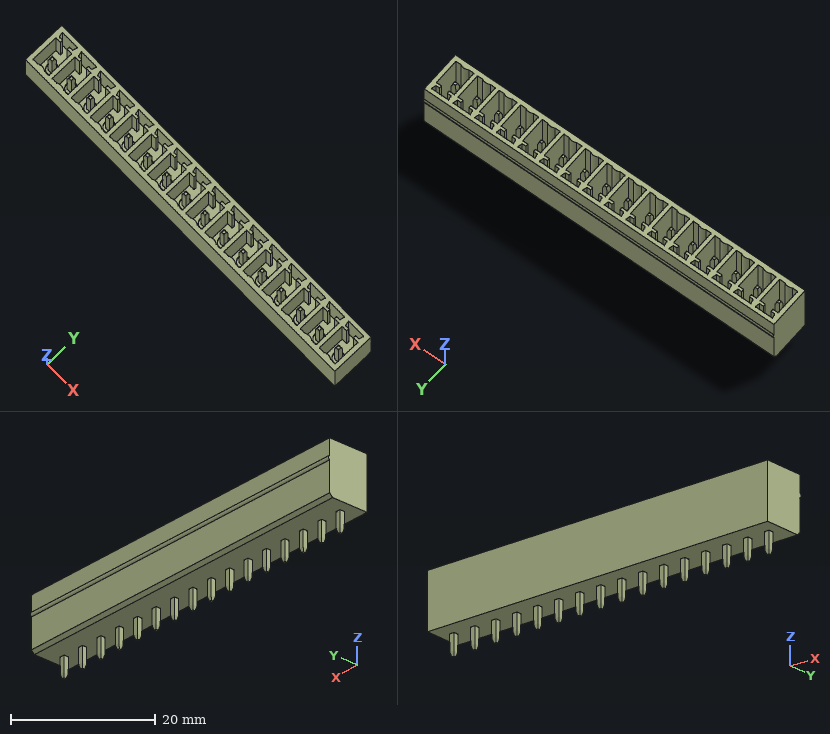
import cadquery as cq

LENGTH = 61.75
DEPTH = 7.05
HEIGHT = 9.25
BACK_CHAMFER = 0.55

RIB_HEIGHT = 0.2
RIB_WIDTH = 0.75
RIB_Z = 6.1

PIN_COUNT = 16
PIN_SPAN = 57.1
PITCH = PIN_SPAN / (PIN_COUNT - 1)
PIN_Y = 2.95

PIN_SIZE = 0.8
PIN_TIP_SIZE = 0.45
PIN_BOTTOM = -3.45
PIN_TOP = 7.7
PIN_TAPER = 0.7

FLOOR_Z = 1.5
BAY_WIDTH = 3.15
BAY_FRONT = 0.8
BAY_BACK = 5.2
NECK_WIDTH = 1.35
NECK_BACK = 5.6
KEYWAY_FRONT_WIDTH = 2.65
KEYWAY_BACK_WIDTH = 3.0
KEYWAY_BACK = 6.35

BULGE_WIDTH = 1.35
BULGE_HEIGHT = 0.2

RECESS_RADIUS = 0.9
RECESS_DEPTH = 0.5


def make_housing():
    block = cq.Workplane("XY").box(LENGTH, DEPTH, HEIGHT, centered=(True, False, False))
    block = block.faces(">Y").edges("<Z").chamfer(BACK_CHAMFER)
    half_rib = RIB_WIDTH / 2
    rib = (
        cq.Workplane("YZ", origin=(-LENGTH / 2, 0, 0))
        .moveTo(DEPTH, RIB_Z - half_rib)
        .threePointArc((DEPTH + RIB_HEIGHT, RIB_Z), (DEPTH, RIB_Z + half_rib))
        .close()
        .extrude(LENGTH)
    )
    return block.union(rib)


def make_chamber():
    """Cutting body for one chamber, with the pin axis at x = 0."""
    bay = BAY_WIDTH / 2
    neck = NECK_WIDTH / 2
    key_front = KEYWAY_FRONT_WIDTH / 2
    key_back = KEYWAY_BACK_WIDTH / 2
    bulge = BULGE_WIDTH / 2
    opening = (
        cq.Workplane("XY", origin=(0, 0, FLOOR_Z))
        .moveTo(-bay, BAY_FRONT)
        .lineTo(-bulge, BAY_FRONT)
        .threePointArc((0, BAY_FRONT + BULGE_HEIGHT), (bulge, BAY_FRONT))
        .lineTo(bay, BAY_FRONT)
        .lineTo(bay, BAY_BACK)
        .lineTo(neck, BAY_BACK)
        .lineTo(neck, NECK_BACK)
        .lineTo(key_front, NECK_BACK)
        .lineTo(key_back, KEYWAY_BACK)
        .lineTo(-key_back, KEYWAY_BACK)
        .lineTo(-key_front, NECK_BACK)
        .lineTo(-neck, NECK_BACK)
        .lineTo(-neck, BAY_BACK)
        .lineTo(-bay, BAY_BACK)
        .close()
        .extrude(HEIGHT - FLOOR_Z)
    )
    recess = (
        cq.Workplane("XY", origin=(0, PIN_Y, FLOOR_Z - RECESS_DEPTH))
        .circle(RECESS_RADIUS)
        .extrude(RECESS_DEPTH)
    )
    return opening.union(recess)


def make_tip(base_z, direction):
    """Tapered pin end that points up (direction 1) or down (direction -1)."""
    return (
        cq.Workplane("XY", origin=(0, PIN_Y, base_z))
        .rect(PIN_SIZE, PIN_SIZE)
        .workplane(offset=direction * PIN_TAPER)
        .rect(PIN_TIP_SIZE, PIN_TIP_SIZE)
        .loft()
    )


def make_pin():
    shank_bottom = PIN_BOTTOM + PIN_TAPER
    shank_top = PIN_TOP - PIN_TAPER
    shank = (
        cq.Workplane("XY", origin=(0, PIN_Y, shank_bottom))
        .rect(PIN_SIZE, PIN_SIZE)
        .extrude(shank_top - shank_bottom)
    )
    return shank.union(make_tip(shank_bottom, -1)).union(make_tip(shank_top, 1))


result = make_housing()
chamber = make_chamber()
pin = make_pin()
for index in range(PIN_COUNT):
    shift = (-PIN_SPAN / 2 + index * PITCH, 0, 0)
    result = result.cut(chamber.translate(shift)).union(pin.translate(shift))